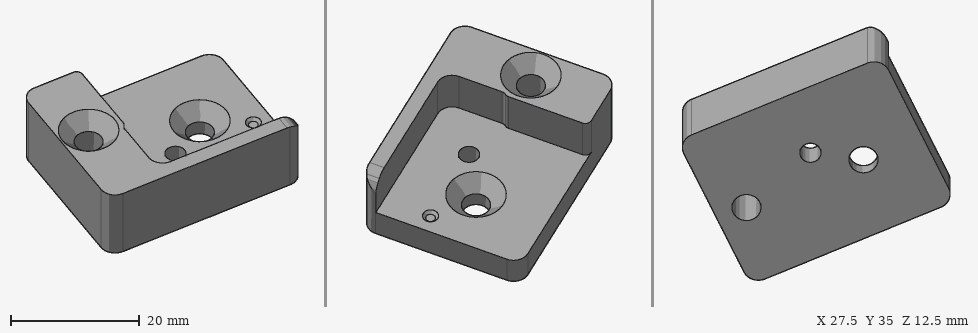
import cadquery as cq
import math

length_x = 27.5
length_y = 35.0
height = 12.5
corner_radius = 2.5

floor_z = 5.0
wall_x = 25.0
shelf_y = 10.5
shelf_drop = 0.5
drop_start_x = 13.72
drop_length = 1.35
recess_radius = 2.5
shelf_end_radius = 1.0

bevel = 2.0
bevel_radius = 2.5

screw_x = 12.5
front_screw_y = 5.0
rear_screw_y = 25.0
screw_diameter = 4.5
screw_head_diameter = 9.4
small_hole_x = 17.0
through_hole_y = 18.0
through_hole_diameter = 3.3
dimple_y = 32.0
dimple_bottom_diameter = 1.5
dimple_mouth_diameter = 2.5
countersink_angle = 90


def make_block():
    block = cq.Workplane("XY").box(length_x, length_y, height, centered=False)
    return block.edges("|Z").fillet(corner_radius)


def make_recess():
    """Open pocket whose front edge steps forward through an S-shaped bend."""
    low_y = shelf_y - shelf_drop
    drop_end_x = drop_start_x + drop_length
    diagonal = math.sqrt(0.5)
    end_mid_x = shelf_end_radius * (1 - diagonal)
    end_mid_y = shelf_y - end_mid_x
    inner_mid_x = wall_x - recess_radius * (1 - diagonal)
    inner_mid_y = low_y + recess_radius * (1 - diagonal)
    return (
        cq.Workplane("XY").workplane(offset=floor_z)
        .moveTo(0, shelf_y - shelf_end_radius)
        .threePointArc((end_mid_x, end_mid_y), (shelf_end_radius, shelf_y))
        .lineTo(drop_start_x, shelf_y)
        .tangentArcPoint((drop_start_x + drop_length / 2, shelf_y - shelf_drop / 2), relative=False)
        .tangentArcPoint((drop_end_x, low_y), relative=False)
        .lineTo(wall_x - recess_radius, low_y)
        .threePointArc((inner_mid_x, inner_mid_y), (wall_x, low_y + recess_radius))
        .lineTo(wall_x, length_y)
        .lineTo(0, length_y)
        .close()
        .extrude(height - floor_z)
    )


def make_bevel_envelope():
    """Side profile of the block with its rear top corner bevelled and blended."""
    profile = (
        cq.Workplane("YZ")
        .polyline([
            (0, 0),
            (length_y, 0),
            (length_y, height - bevel),
            (length_y - bevel, height),
            (0, height),
        ])
        .close()
        .extrude(length_x)
    )
    blend_edges = profile.faces(">Y").edges(">Z").add(profile.faces(">Z").edges(">Y"))
    return blend_edges.fillet(bevel_radius)


def countersunk_hole(part, x, y, top_z):
    plane = cq.Workplane("XY", origin=(x, y, top_z))
    return part.copyWorkplane(plane).cskHole(screw_diameter, screw_head_diameter, countersink_angle)


def make_dimple():
    """Shallow conical recess with a flat bottom."""
    depth = (dimple_mouth_diameter - dimple_bottom_diameter) / 2
    return (
        cq.Workplane("XY", origin=(small_hole_x, dimple_y, floor_z - depth))
        .circle(dimple_bottom_diameter / 2)
        .workplane(offset=depth)
        .circle(dimple_mouth_diameter / 2)
        .loft(ruled=True)
    )


def make_through_hole():
    return (
        cq.Workplane("XY", origin=(small_hole_x, through_hole_y, 0))
        .circle(through_hole_diameter / 2)
        .extrude(floor_z)
    )


result = make_block().cut(make_recess()).intersect(make_bevel_envelope())
result = countersunk_hole(result, screw_x, front_screw_y, height)
result = countersunk_hole(result, screw_x, rear_screw_y, floor_z)
result = result.cut(make_dimple()).cut(make_through_hole())